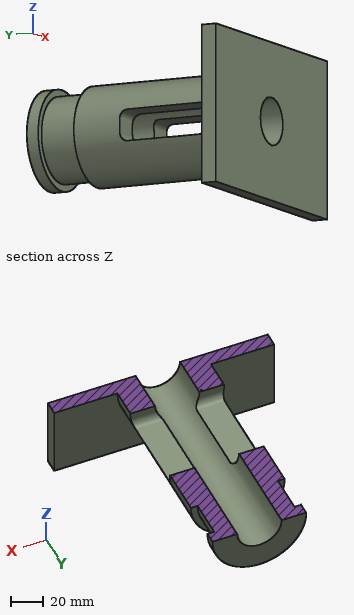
import cadquery as cq

plate_width = 150.0
plate_height = 100.0
plate_thickness = 10.0

total_length = 155.0
flange_diameter = 64.0
flange_thickness = 8.0
neck_diameter = 55.0
neck_length = 25.0
body_diameter = flange_diameter
bore_diameter = 30.0

window_length = 60.0
window_height = 20.0
window_corner_radius = 5.0
window_start = 29.9

neck_start = total_length - flange_thickness - neck_length
flange_start = total_length - flange_thickness


def cylinder(diameter, start, end):
    """Solid cylinder on the Y axis between two Y positions."""
    return cq.Workplane("XZ", origin=(0, start, 0)).circle(diameter / 2).extrude(start - end)


def base_plate():
    return cq.Workplane("XY").box(
        plate_width, plate_thickness, plate_height, centered=(True, False, True)
    )


def post():
    body = cylinder(body_diameter, plate_thickness, neck_start)
    neck = cylinder(neck_diameter, neck_start, flange_start)
    flange = cylinder(flange_diameter, flange_start, total_length)
    return body.union(neck).union(flange)


def side_window():
    window_centre = window_start + window_length / 2
    return (
        cq.Workplane("XY")
        .box(2 * body_diameter, window_length, window_height)
        .edges("|X")
        .fillet(window_corner_radius)
        .translate((0, window_centre, 0))
    )


bore = cylinder(bore_diameter, 0, total_length)
result = base_plate().union(post()).cut(bore).cut(side_window())